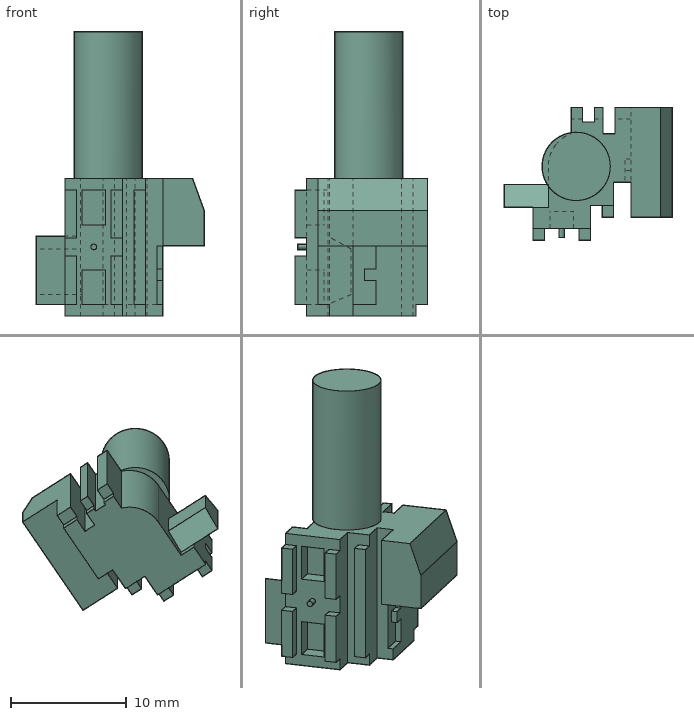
import cadquery as cq
import math


TOTAL_HEIGHT = 24.57
BODY_HEIGHT = 11.9
SHAFT_DIAMETER = 5.9
SHAFT_X = -0.61
BODY_ROUND_RADIUS = 3.02
STEP = 1.0

BACK_Y = 5.09
FRONT_Y = -5.38
PAD_LEFT_X = -4.35
PAD_RIGHT_X = 0.65
PAD_BACK_Y = -3.55
SHOULDER_X = 2.63
SHOULDER_Y = -3.4
BODY_RIGHT_X = 4.1
RIGHT_FACE_Y = -1.38
BACK_LEFT_X = -1.05

SHALLOW_SLOT_X = -0.05
SHALLOW_SLOT_DEPTH = 1.25
DEEP_SLOT_X = 1.72
DEEP_SLOT_DEPTH = 2.25

RIB_BOTTOM = STEP
RIB_TOP = BODY_HEIGHT - STEP
RIB_GAP_BOTTOM = 5.2
RIB_GAP_TOP = 6.75
POCKET_WIDTH = 2.01
POCKET_HEIGHT = 3.0
POCKET_DEPTH = 1.5
PIN_DIAMETER = 0.5
PIN_LENGTH = 0.75
PAD_CENTER_X = (PAD_LEFT_X + PAD_RIGHT_X) / 2
RIB_GAP_CENTER_Z = (RIB_GAP_BOTTOM + RIB_GAP_TOP) / 2

BLOCK_RIGHT_X = 7.7
BLOCK_FRONT_Y = -4.4
BLOCK_BOTTOM = 6.07
BLOCK_SLOPE_WIDTH = 1.0
BLOCK_SLOPE_HEIGHT = 2.78

NOTCH_WIDTH = 0.5
NOTCH_DEPTH = 2.01
NOTCH_BAR_BOTTOM = 3.07
NOTCH_BAR_TOP = 4.08
NOTCH_BAR_SETBACK = 1.0

WING_LEFT_X = -6.83
WING_BACK_Y = -1.55
WING_FRONT_BOTTOM = STEP
WING_FRONT_TOP = 6.9
WING_BACK_BOTTOM = 1.87
WING_BACK_TOP = 5.82


def box(x0, x1, y0, y1, z0, z1):
    """Box between two opposite corners."""
    return cq.Workplane("XY").box(x1 - x0, y1 - y0, z1 - z0, centered=False).translate((x0, y0, z0))


def make_body():
    """Full-height prism with the two back slots and a rounded left side."""
    round_end_y = math.sqrt(BODY_ROUND_RADIUS**2 - BACK_LEFT_X**2)
    mid_angle = (math.pi + math.atan2(round_end_y, BACK_LEFT_X)) / 2
    round_middle = (BODY_ROUND_RADIUS * math.cos(mid_angle), BODY_ROUND_RADIUS * math.sin(mid_angle))
    shallow_floor_y = BACK_Y - SHALLOW_SLOT_DEPTH
    deep_floor_y = BACK_Y - DEEP_SLOT_DEPTH
    return (
        cq.Workplane("XY")
        .moveTo(BACK_LEFT_X, BACK_Y)
        .lineTo(SHALLOW_SLOT_X, BACK_Y)
        .lineTo(SHALLOW_SLOT_X, shallow_floor_y)
        .lineTo(SHALLOW_SLOT_X + STEP, shallow_floor_y)
        .lineTo(SHALLOW_SLOT_X + STEP, BACK_Y)
        .lineTo(DEEP_SLOT_X, BACK_Y)
        .lineTo(DEEP_SLOT_X, deep_floor_y)
        .lineTo(DEEP_SLOT_X + STEP, deep_floor_y)
        .lineTo(DEEP_SLOT_X + STEP, BACK_Y)
        .lineTo(BODY_RIGHT_X, BACK_Y)
        .lineTo(BODY_RIGHT_X, RIGHT_FACE_Y)
        .lineTo(SHOULDER_X, RIGHT_FACE_Y)
        .lineTo(SHOULDER_X, SHOULDER_Y)
        .lineTo(PAD_RIGHT_X, SHOULDER_Y)
        .lineTo(PAD_RIGHT_X, FRONT_Y)
        .lineTo(PAD_LEFT_X, FRONT_Y)
        .lineTo(PAD_LEFT_X, PAD_BACK_Y)
        .lineTo(-BODY_ROUND_RADIUS, PAD_BACK_Y)
        .lineTo(-BODY_ROUND_RADIUS, 0)
        .threePointArc(round_middle, (BACK_LEFT_X, round_end_y))
        .close()
        .extrude(BODY_HEIGHT)
    )


def make_shaft():
    return (
        cq.Workplane("XY", origin=(SHAFT_X, 0, BODY_HEIGHT))
        .circle(SHAFT_DIAMETER / 2)
        .extrude(TOTAL_HEIGHT - BODY_HEIGHT)
    )


def make_block():
    """Right-hand block with its top outer edge cut to a slope."""
    slope_x = BLOCK_RIGHT_X - BLOCK_SLOPE_WIDTH
    slope_z = BODY_HEIGHT - BLOCK_SLOPE_HEIGHT
    return (
        cq.Workplane("XZ", origin=(0, BACK_Y, 0))
        .moveTo(BODY_RIGHT_X, BLOCK_BOTTOM)
        .lineTo(BLOCK_RIGHT_X, BLOCK_BOTTOM)
        .lineTo(BLOCK_RIGHT_X, slope_z)
        .lineTo(slope_x, BODY_HEIGHT)
        .lineTo(BODY_RIGHT_X, BODY_HEIGHT)
        .close()
        .extrude(BACK_Y - BLOCK_FRONT_Y)
    )


def make_wing():
    """Left-hand wing that gets taller toward the front."""
    return (
        cq.Workplane("YZ", origin=(WING_LEFT_X, 0, 0))
        .moveTo(PAD_BACK_Y, WING_FRONT_BOTTOM)
        .lineTo(PAD_BACK_Y, WING_FRONT_TOP)
        .lineTo(WING_BACK_Y, WING_BACK_TOP)
        .lineTo(WING_BACK_Y, WING_BACK_BOTTOM)
        .close()
        .extrude(-BODY_ROUND_RADIUS - WING_LEFT_X)
    )


def make_ribs():
    """Two split ribs on the front pad and one unbroken rib on the shoulder."""
    shoulder_rib = box(
        SHOULDER_X - STEP, SHOULDER_X, SHOULDER_Y - STEP, SHOULDER_Y, RIB_BOTTOM, RIB_TOP
    )
    ribs = [shoulder_rib]
    for left_x in (PAD_LEFT_X, PAD_RIGHT_X - STEP):
        for bottom, top in ((RIB_BOTTOM, RIB_GAP_BOTTOM), (RIB_GAP_TOP, RIB_TOP)):
            ribs.append(box(left_x, left_x + STEP, FRONT_Y - STEP, FRONT_Y, bottom, top))
    return ribs


def make_pin():
    return (
        cq.Workplane("XZ", origin=(PAD_CENTER_X, FRONT_Y, RIB_GAP_CENTER_Z))
        .circle(PIN_DIAMETER / 2)
        .extrude(PIN_LENGTH)
    )


def make_pockets():
    """Blind pockets between the pad ribs, one at each end."""
    left_x = PAD_CENTER_X - POCKET_WIDTH / 2
    pockets = []
    for bottom in (RIB_BOTTOM, RIB_TOP - POCKET_HEIGHT):
        top = bottom + POCKET_HEIGHT
        pockets.append(box(left_x, left_x + POCKET_WIDTH, FRONT_Y, FRONT_Y + POCKET_DEPTH, bottom, top))
    return pockets


def make_back_step():
    """Cutter for the step along the bottom back edge."""
    return box(BACK_LEFT_X, BODY_RIGHT_X, BACK_Y - STEP, BACK_Y, 0, STEP)


def make_notch():
    """Cutter for the right-side notch, leaving a set-back bar across it."""
    left_x = BODY_RIGHT_X - NOTCH_WIDTH
    back_y = RIGHT_FACE_Y + NOTCH_DEPTH
    bar_y = RIGHT_FACE_Y + NOTCH_BAR_SETBACK
    notch = box(left_x, BODY_RIGHT_X, RIGHT_FACE_Y, back_y, STEP, BLOCK_BOTTOM)
    bar = box(left_x, BODY_RIGHT_X, bar_y, back_y, NOTCH_BAR_BOTTOM, NOTCH_BAR_TOP)
    return notch.cut(bar)


result = make_body()
for cutter in [make_back_step(), make_notch(), *make_pockets()]:
    result = result.cut(cutter)
for addition in [make_shaft(), make_block(), make_wing(), make_pin(), *make_ribs()]:
    result = result.union(addition)